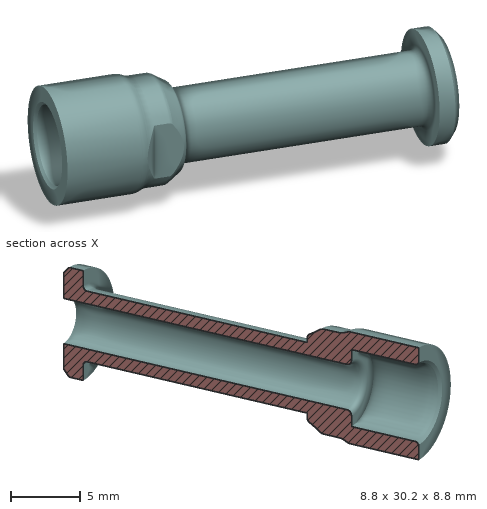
import cadquery as cq
import math

LENGTH = 30.2
SOCKET_RADIUS = 8.8 / 2
NECK_RADIUS = 8.25 / 2
TUBE_RADIUS = 2.78
SOCKET_LENGTH = 5.7
COLLAR_END = 9.5

BLEND_RADIUS = 1.12

TAPER_ANGLE = math.radians(32)
TAPER_START = 8.25
NECK_ROUND = 0.55
TAPER_ROUND = 0.4

FLANGE_RADIUS = 8.6 / 2
FLANGE_THICKNESS = 1.7
FLANGE_CHAMFER_DEPTH = 0.48
FLANGE_CHAMFER_WIDTH = 0.55
FLANGE_FILLET = 0.33

MOUTH_RADIUS = 3.2
COUNTERBORE_RADIUS = 3.0
COUNTERBORE_DEPTH = 5.7
BORE_RADIUS = 1.75
BORE_ROUND = 0.42

FLAT_DISTANCE = 7.05 / 2
FLAT_START = 6.95


def outer_body():
    step = SOCKET_RADIUS - NECK_RADIUS
    blend_angle = math.acos(1 - step / (2 * BLEND_RADIUS))
    half_blend = BLEND_RADIUS * math.sin(blend_angle)
    blend_middle = (SOCKET_RADIUS - step / 2, SOCKET_LENGTH + half_blend)
    blend_end = (NECK_RADIUS, SOCKET_LENGTH + 2 * half_blend)

    neck_tangent = NECK_ROUND * math.tan(TAPER_ANGLE / 2)
    end_tangent = TAPER_ROUND * math.tan((math.pi / 2 - TAPER_ANGLE) / 2)
    taper_end_radius = NECK_RADIUS - (COLLAR_END - TAPER_START) * math.tan(TAPER_ANGLE)
    taper_radial = math.sin(TAPER_ANGLE)
    taper_axial = math.cos(TAPER_ANGLE)
    flange_front = LENGTH - FLANGE_THICKNESS

    profile = (
        cq.Workplane("XY")
        .lineTo(SOCKET_RADIUS, 0)
        .lineTo(SOCKET_RADIUS, SOCKET_LENGTH)
        .tangentArcPoint(blend_middle, relative=False)
        .tangentArcPoint(blend_end, relative=False)
        .lineTo(NECK_RADIUS, TAPER_START - neck_tangent)
        .tangentArcPoint(
            (NECK_RADIUS - neck_tangent * taper_radial, TAPER_START + neck_tangent * taper_axial),
            relative=False,
        )
        .lineTo(taper_end_radius + end_tangent * taper_radial, COLLAR_END - end_tangent * taper_axial)
        .tangentArcPoint((taper_end_radius - end_tangent, COLLAR_END), relative=False)
        .lineTo(TUBE_RADIUS, COLLAR_END)
        .lineTo(TUBE_RADIUS, flange_front - FLANGE_FILLET)
        .tangentArcPoint((TUBE_RADIUS + FLANGE_FILLET, flange_front), relative=False)
        .lineTo(FLANGE_RADIUS, flange_front)
        .lineTo(FLANGE_RADIUS, LENGTH - FLANGE_CHAMFER_DEPTH)
        .lineTo(FLANGE_RADIUS - FLANGE_CHAMFER_WIDTH, LENGTH)
        .lineTo(0, LENGTH)
        .close()
    )
    return profile.revolve(360, (0, 0), (0, 1))


def bores():
    mouth_chamfer = MOUTH_RADIUS - COUNTERBORE_RADIUS
    profile = (
        cq.Workplane("XY")
        .lineTo(MOUTH_RADIUS, 0)
        .lineTo(COUNTERBORE_RADIUS, mouth_chamfer)
        .lineTo(COUNTERBORE_RADIUS, COUNTERBORE_DEPTH)
        .lineTo(BORE_RADIUS + BORE_ROUND, COUNTERBORE_DEPTH)
        .radiusArc((BORE_RADIUS, COUNTERBORE_DEPTH + BORE_ROUND), BORE_ROUND)
        .lineTo(BORE_RADIUS, LENGTH)
        .lineTo(0, LENGTH)
        .close()
    )
    return profile.revolve(360, (0, 0), (0, 1))


def flat_cutter(side):
    """Material outside one wrench flat; side is +1 or -1 along X."""
    run_out = SOCKET_RADIUS - FLAT_DISTANCE
    return (
        cq.Workplane("XY")
        .moveTo(side * FLAT_DISTANCE, FLAT_START)
        .lineTo(side * SOCKET_RADIUS, FLAT_START - run_out)
        .lineTo(side * SOCKET_RADIUS, COLLAR_END)
        .lineTo(side * FLAT_DISTANCE, COLLAR_END)
        .close()
        .extrude(SOCKET_RADIUS, both=True)
    )


result = outer_body().cut(bores())
for side in (-1, 1):
    result = result.cut(flat_cutter(side))

result = result.translate((0, -LENGTH / 2, 0))